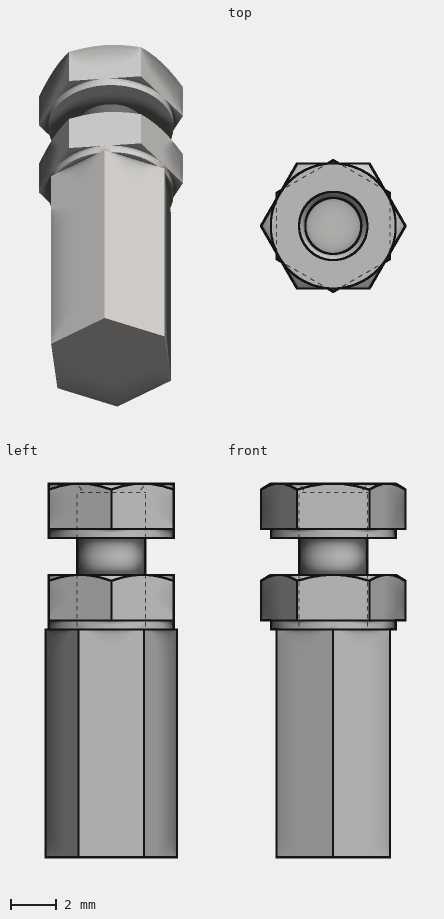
import cadquery as cq
import math

column_height = 10.0
column_flats = 5.0
stud_diameter = 3.0

nut_flats = 5.5
nut_height = 2.0
washer_height = 0.4
nut_gap = 1.6
nut_chamfer_height = 0.26
nut_total_height = washer_height + nut_height
nut_bases = [column_height, column_height + nut_total_height + nut_gap]

mouth_depth = 0.4
mouth_inner_diameter = 2.46
nut_top = nut_bases[-1] + nut_total_height
stud_top = nut_top - mouth_depth


def hexagon(flats, height, base):
    """Hexagonal prism with corners on the X axis."""
    corner_diameter = flats / math.cos(math.pi / 6)
    return cq.Workplane("XY", origin=(0, 0, base)).polygon(6, corner_diameter).extrude(height)


def cylinder(diameter, height, base):
    return cq.Workplane("XY", origin=(0, 0, base)).circle(diameter / 2).extrude(height)


def make_standoff():
    """Hexagonal column with corners on the Y axis, carrying the stud."""
    column = hexagon(column_flats, column_height, 0).rotate((0, 0, 0), (0, 0, 1), 90)
    stud = cylinder(stud_diameter, stud_top - column_height, column_height)
    return column.union(stud)


def nut_envelope(base):
    """Cylinder with a conical top that trims the hexagon corners."""
    corner_radius = nut_flats / math.sqrt(3)
    return (
        cq.Workplane("XY", origin=(0, 0, base))
        .circle(corner_radius)
        .extrude(nut_height)
        .faces(">Z")
        .chamfer(nut_chamfer_height, corner_radius - nut_flats / 2)
    )


def bore_mouth(top):
    """Cone from the stud diameter at the nut top down to the inner diameter."""
    return (
        cq.Workplane("XY", origin=(0, 0, top))
        .circle(stud_diameter / 2)
        .workplane(offset=-mouth_depth)
        .circle(mouth_inner_diameter / 2)
        .loft(combine=True)
    )


def make_nut(base):
    """Nut with a washer face below, bored for the stud."""
    top = base + nut_total_height
    hexagon_base = base + washer_height
    head = hexagon(nut_flats, nut_height, hexagon_base).intersect(nut_envelope(hexagon_base))
    body = cylinder(nut_flats, washer_height, base).union(head)
    bore = cylinder(stud_diameter, min(top, stud_top) - base, base)
    body = body.cut(bore)
    if top > stud_top:
        body = body.cut(bore_mouth(top))
    return body


standoff = make_standoff()
nuts = [make_nut(base) for base in nut_bases]

result = cq.Compound.makeCompound([standoff.val(), *[nut.val() for nut in nuts]])